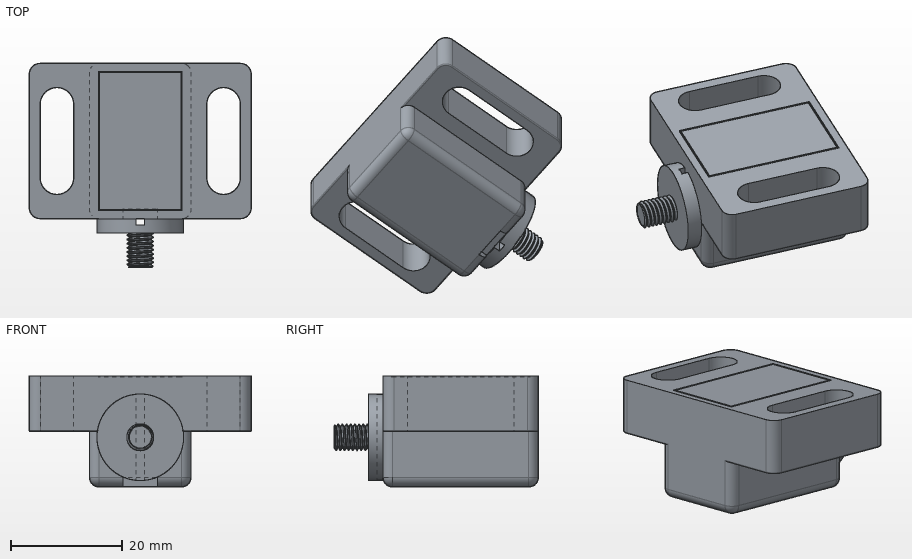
import cadquery as cq

plate_width = 40.0
depth = 28.0
plate_height = 10.0
plate_corner_radius = 2.0
plate_edge_radius = 0.2
front_y = -depth / 2

boss_width = 18.3
boss_height = 10.0
boss_radius = 1.75
housing_bottom_z = -plate_height - boss_height

mount_slot_spacing = 30.0
mount_slot_width = 6.0
mount_slot_length = 19.2

groove_frame_width = 15.0
groove_frame_depth = 25.0
groove_width = 0.2
groove_depth = 0.2

notch_width = 6.2

disc_diameter = 15.6
disc_thickness = 2.6
disc_axis_z = -11.05
driver_slot_width = 1.5
driver_slot_depth = 1.1

stud_length = 6.2
thread_diameter = 4.85
thread_pitch = 0.75
thread_depth = 0.45
thread_root_land = 0.06
thread_root_overlap = 0.05
stud_end_chamfer = 0.35


def make_plate():
    """Rounded plate with its bottom rim rounded."""
    return (
        cq.Workplane("XY")
        .box(plate_width, depth, plate_height, centered=(True, True, False))
        .translate((0, 0, -plate_height))
        .edges("|Z").fillet(plate_corner_radius)
        .faces("<Z").edges().fillet(plate_edge_radius)
    )


def make_boss():
    """Block under the plate, rounded on its upright and bottom edges.

    It starts at the top of the plate so that the two fuse fully.
    """
    return (
        cq.Workplane("XY")
        .box(boss_width, depth, -housing_bottom_z, centered=(True, True, False))
        .translate((0, 0, housing_bottom_z))
        .edges("|Z or <Z").fillet(boss_radius)
    )


def make_mount_slots():
    """Two long through slots, one on each side of the plate."""
    return (
        cq.Workplane("XY")
        .pushPoints([(-mount_slot_spacing / 2, 0), (mount_slot_spacing / 2, 0)])
        .slot2D(mount_slot_length, mount_slot_width, 90)
        .extrude(-plate_height)
    )


def make_frame_groove():
    """Shallow rectangular groove in the top face."""
    return (
        cq.Workplane("XY")
        .rect(groove_frame_width, groove_frame_depth)
        .rect(groove_frame_width - 2 * groove_width, groove_frame_depth - 2 * groove_width)
        .extrude(-groove_depth)
    )


def make_front_notch():
    """Square notch that takes the middle of the boss's rounded front bottom edge."""
    return (
        cq.Workplane("XY")
        .box(notch_width, boss_radius, boss_radius, centered=(True, False, False))
        .translate((0, front_y, housing_bottom_z))
    )


def make_housing():
    housing = make_plate().union(make_boss())
    return housing.cut(make_mount_slots()).cut(make_frame_groove()).cut(make_front_notch())


def make_disc():
    """Disc along +Z from Z = 0, with a driver slot across its Z = 0 face."""
    driver_slot = cq.Workplane("XY").box(
        driver_slot_width, disc_diameter, driver_slot_depth, centered=(True, True, False)
    )
    return cq.Workplane("XY").circle(disc_diameter / 2).extrude(disc_thickness).cut(driver_slot)


def make_stud():
    """Right-hand threaded stud along +Z from Z = 0, with a chamfered free end."""
    thread_radius = thread_diameter / 2
    root_radius = thread_radius - thread_depth
    inner_radius = root_radius - thread_root_overlap
    half_base = (thread_pitch - thread_root_land) / 2

    helix = cq.Wire.makeHelix(thread_pitch, stud_length + 2 * thread_pitch, root_radius)
    ridge = (
        cq.Workplane("XZ")
        .polyline([(inner_radius, -half_base), (thread_radius, 0), (inner_radius, half_base)])
        .close()
        .sweep(cq.Workplane(helix), isFrenet=True)
        .translate((0, 0, -thread_pitch))
    )
    envelope = (
        cq.Workplane("XY").circle(thread_radius).extrude(stud_length)
        .faces(">Z").edges().chamfer(stud_end_chamfer)
    )
    core = cq.Workplane("XY").circle(root_radius).extrude(stud_length)
    return core.union(ridge.intersect(envelope))


def make_armature():
    """Disc and stud, turned to point along -Y from the housing's front face."""
    stud = make_stud().translate((0, 0, disc_thickness))
    return (
        make_disc().union(stud)
        .rotate((0, 0, 0), (1, 0, 0), 90)
        .translate((0, front_y, disc_axis_z))
    )


housing = make_housing()
armature = make_armature()

result = cq.Compound.makeCompound([*housing.solids().vals(), *armature.solids().vals()])